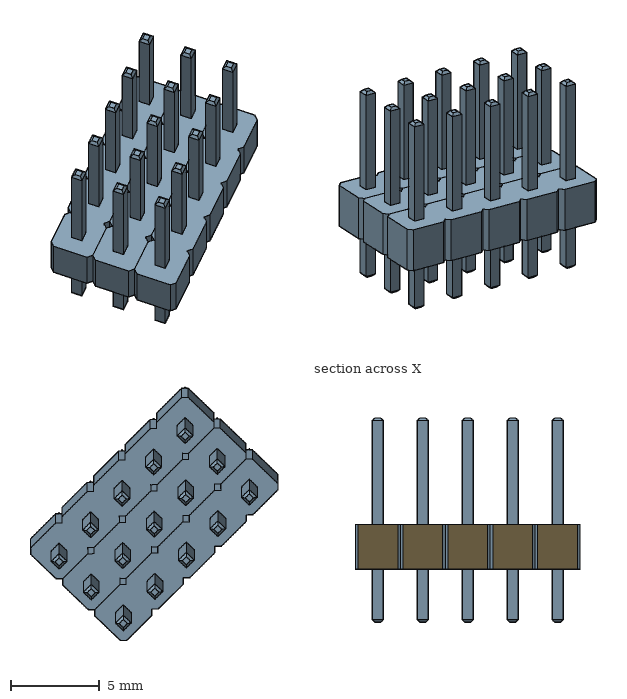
import cadquery as cq

pitch = 2.54
strip_count = 3
pins_per_strip = 5

block_height = 2.54
corner_cut = 0.25

pin_width = 0.64
pin_length = 11.55
pin_below = 3.0
tip_cut = 0.15


def centered(index, count):
    """Position of one item in an evenly pitched row centred on the origin."""
    return (index - (count - 1) / 2) * pitch


def make_cell():
    return (
        cq.Workplane("XY")
        .rect(pitch, pitch)
        .extrude(block_height)
        .edges("|Z")
        .chamfer(corner_cut)
    )


def make_pin():
    return (
        cq.Workplane("XY")
        .workplane(offset=-pin_below)
        .rect(pin_width, pin_width)
        .extrude(pin_length)
        .faces("<Z or >Z")
        .chamfer(tip_cut)
    )


def make_strip(x):
    """One strip: its cells and pins are fused into a single solid."""
    pin_cell = make_cell().union(make_pin())
    strip = cq.Workplane("XY")
    for index in range(pins_per_strip):
        y = centered(index, pins_per_strip)
        strip = strip.union(pin_cell.translate((x, y, 0)))
    return strip.clean()


strips = [make_strip(centered(index, strip_count)) for index in range(strip_count)]

result = cq.Compound.makeCompound([strip.val() for strip in strips])